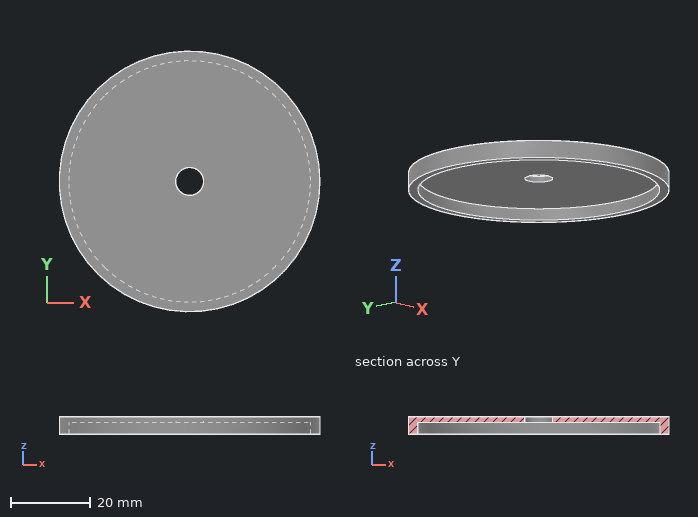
import cadquery as cq

cap_diameter = 65.8
cap_height = 4.5
plate_thickness = 1.5
recess_diameter = 61.0
hole_diameter = 7.0

recess_depth = cap_height - plate_thickness

body = cq.Workplane("XY").circle(cap_diameter / 2).extrude(cap_height)

recess = cq.Workplane("XY").circle(recess_diameter / 2).extrude(recess_depth)

hole = cq.Workplane("XY").circle(hole_diameter / 2).extrude(cap_height)

result = body.cut(recess).cut(hole)